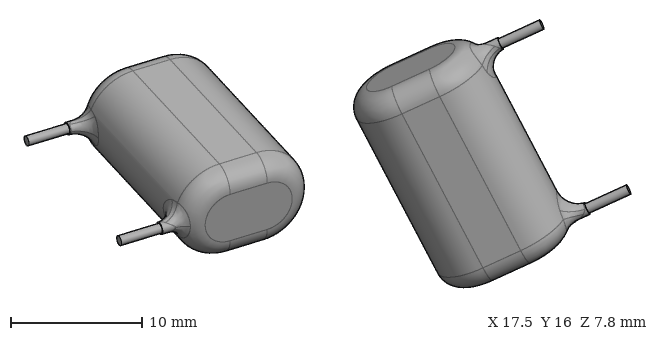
import cadquery as cq

case_length = 17.5
case_depth = 11.0
case_height = 7.8
case_end_radius = 1.75

overall_depth = 16.0
lead_pitch = 15.0
lead_diameter = 0.8
collar_diameter = 1.0
collar_projection = 1.5
collar_rim = 0.1
flare_radius = 1.8

case_front_y = -case_depth / 2
collar_end_y = case_front_y - collar_projection
flare_end_y = collar_end_y + collar_rim
lead_tip_y = case_depth / 2 - overall_depth
lead_positions = (-lead_pitch / 2, lead_pitch / 2)


def rod_along_y(diameter, x, start_y, end_y):
    """Round rod at mid height, running from start_y towards -Y as far as end_y."""
    return (
        cq.Workplane("XZ", origin=(x, start_y, 0))
        .circle(diameter / 2)
        .extrude(start_y - end_y)
    )


def make_case_shell():
    """Oval case with its two end faces rounded over."""
    return (
        cq.Workplane("YZ")
        .slot2D(case_depth, case_height)
        .extrude(case_length / 2, both=True)
        .faces("<X or >X")
        .edges()
        .fillet(case_end_radius)
    )


def flare_root(case, x):
    """Blend the root of the collar at x into the case, leaving its free end sharp."""
    reach = collar_diameter
    halfway_along_collar_y = (case_front_y + flare_end_y) / 2
    root_edges = cq.selectors.BoxSelector(
        (x - reach, halfway_along_collar_y, -reach),
        (x + reach, 0, reach),
        boundingbox=True,
    )
    return case.edges(root_edges).fillet(flare_radius)


def make_case():
    """Case with a flared collar for each lead."""
    case = make_case_shell()
    for x in lead_positions:
        case = case.union(rod_along_y(collar_diameter, x, 0, flare_end_y))
        case = flare_root(case, x)
        case = case.union(rod_along_y(collar_diameter, x, flare_end_y, collar_end_y))
    return case


def make_lead(x):
    """Straight wire standing on the end of the collar at x."""
    return rod_along_y(lead_diameter, x, collar_end_y, lead_tip_y)


case = make_case()
leads = [make_lead(x) for x in lead_positions]
result = cq.Compound.makeCompound([case.solids().val(), *[lead.val() for lead in leads]])